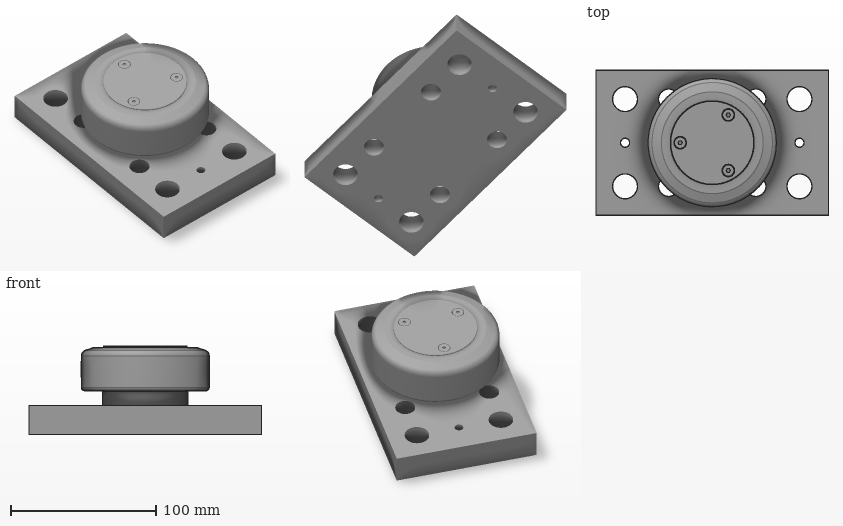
import cadquery as cq
import math

PLATE_LENGTH = 160.0
PLATE_WIDTH = 100.0
PLATE_THICKNESS = 20.0

HOLE_ROW_SPACING = 60.0
LARGE_HOLE_DIAMETER = 17.0
LARGE_HOLE_SPACING = 120.0
MEDIUM_HOLE_DIAMETER = 13.8
MEDIUM_HOLE_SPACING = 60.0
PIN_HOLE_DIAMETER = 6.0

NECK_DIAMETER = 59.0
RELIEF_DIAMETER = 55.4
RELIEF_HEIGHT = 0.5

ROLLER_RADIUS = 44.2
ROLLER_CROWN = 0.08
ROLLER_BOTTOM = 30.0
ROLLER_TOP = 60.0
RIM_BOTTOM = 32.5
RIM_TOP = 54.0
LOWER_ROUND = RIM_BOTTOM - ROLLER_BOTTOM
SHOULDER_RADIUS = 41.5
SHOULDER_HEIGHT = 58.0
TOP_FACE_RADIUS = 35.0

CAP_DIAMETER = 57.8
CAP_TOP = 61.0
CAP_CHAMFER = 0.3

SCREW_COUNT = 3
SCREW_CIRCLE_RADIUS = 22.0
COUNTERBORE_DIAMETER = 8.6
SCREW_HEAD_DIAMETER = 7.8
SCREW_HEAD_HEIGHT = 4.0
SOCKET_WIDTH = 2.5
SOCKET_DEPTH = 1.0


def make_plate():
    """Plate pierced by all its through holes."""
    plate = cq.Workplane("XY").box(
        PLATE_LENGTH, PLATE_WIDTH, PLATE_THICKNESS, centered=(True, True, False)
    )
    hole_groups = [
        (LARGE_HOLE_DIAMETER, LARGE_HOLE_SPACING),
        (MEDIUM_HOLE_DIAMETER, MEDIUM_HOLE_SPACING),
    ]
    for diameter, spacing in hole_groups:
        plate = (
            plate.faces(">Z").workplane(origin=(0, 0, 0))
            .rarray(spacing, HOLE_ROW_SPACING, 2, 2)
            .hole(diameter)
        )
    return (
        plate.faces(">Z").workplane(origin=(0, 0, 0))
        .rarray(LARGE_HOLE_SPACING, 1.6, 2, 1)
        .hole(PIN_HOLE_DIAMETER)
    )


def make_neck():
    return (
        cq.Workplane("XY").workplane(offset=PLATE_THICKNESS)
        .circle(NECK_DIAMETER / 2)
        .extrude(ROLLER_BOTTOM - RELIEF_HEIGHT - PLATE_THICKNESS)
        .faces(">Z").workplane()
        .circle(RELIEF_DIAMETER / 2)
        .extrude(RELIEF_HEIGHT)
    )


def make_roller():
    """Revolved roller: lower round, crowned rim, upper round and conical shoulder."""
    rim_edge_radius = ROLLER_RADIUS - ROLLER_CROWN
    rim_middle = (RIM_BOTTOM + RIM_TOP) / 2
    return (
        cq.Workplane("XZ")
        .moveTo(0, ROLLER_BOTTOM)
        .lineTo(rim_edge_radius - LOWER_ROUND, ROLLER_BOTTOM)
        .tangentArcPoint((rim_edge_radius, RIM_BOTTOM), relative=False)
        .threePointArc((ROLLER_RADIUS, rim_middle), (rim_edge_radius, RIM_TOP))
        .tangentArcPoint((SHOULDER_RADIUS, SHOULDER_HEIGHT), relative=False)
        .lineTo(TOP_FACE_RADIUS, ROLLER_TOP)
        .lineTo(0, ROLLER_TOP)
        .close()
        .revolve(360, (0, 0, 0), (0, 1, 0))
    )


def make_cap():
    return (
        cq.Workplane("XY").workplane(offset=ROLLER_TOP)
        .circle(CAP_DIAMETER / 2)
        .extrude(CAP_TOP - ROLLER_TOP)
        .faces(">Z").edges().chamfer(CAP_CHAMFER)
    )


def screw_positions():
    return cq.Workplane("XY").workplane(offset=CAP_TOP).polarArray(
        SCREW_CIRCLE_RADIUS, 180, 360, SCREW_COUNT
    )


def cut_screws(body):
    """Cut the ring gap around each screw head and the hexagonal socket inside it."""
    gaps = (
        screw_positions()
        .circle(COUNTERBORE_DIAMETER / 2)
        .circle(SCREW_HEAD_DIAMETER / 2)
        .extrude(-SCREW_HEAD_HEIGHT)
    )
    sockets = (
        screw_positions()
        .polygon(6, SOCKET_WIDTH / math.cos(math.pi / 6))
        .extrude(-SOCKET_DEPTH)
    )
    return body.cut(gaps).cut(sockets)


body = make_plate().union(make_neck()).union(make_roller()).union(make_cap())
result = cut_screws(body)